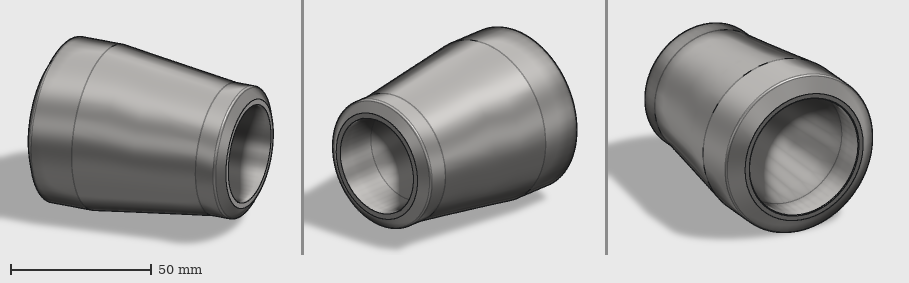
import cadquery as cq
import math

TOTAL_LENGTH = 76.0
LARGE_OUTER_DIAMETER = 60.3
LARGE_BORE_DIAMETER = 44.3
SMALL_OUTER_DIAMETER = 48.3
SMALL_BORE_DIAMETER = 35.7

LARGE_STRAIGHT_LENGTH = 20.0
SMALL_STRAIGHT_LENGTH = 10.0
LARGE_BORE_STRAIGHT_LENGTH = 12.0
SMALL_BORE_STRAIGHT_LENGTH = 16.0

LAND_WIDTH = 2.0
BEVEL_ANGLE = 30.0

BEVEL_ROUND_RADIUS = 1.0
TAPER_BLEND_RADIUS = 1.0
BORE_RIM_CHAMFER = 0.3

EDGE_TOLERANCE = 0.01

LARGE_OUTER_RADIUS = LARGE_OUTER_DIAMETER / 2
LARGE_BORE_RADIUS = LARGE_BORE_DIAMETER / 2
SMALL_OUTER_RADIUS = SMALL_OUTER_DIAMETER / 2
SMALL_BORE_RADIUS = SMALL_BORE_DIAMETER / 2


def bevel_length(outer_radius, bore_radius):
    """Axial length of a bevel from its land to the outer cylinder."""
    bevel_height = outer_radius - bore_radius - LAND_WIDTH
    return bevel_height * math.tan(math.radians(BEVEL_ANGLE))


LARGE_END_X = -TOTAL_LENGTH / 2
SMALL_END_X = TOTAL_LENGTH / 2
LARGE_BEVEL_X = LARGE_END_X + bevel_length(LARGE_OUTER_RADIUS, LARGE_BORE_RADIUS)
SMALL_BEVEL_X = SMALL_END_X - bevel_length(SMALL_OUTER_RADIUS, SMALL_BORE_RADIUS)
TAPER_START_X = LARGE_END_X + LARGE_STRAIGHT_LENGTH
TAPER_END_X = SMALL_END_X - SMALL_STRAIGHT_LENGTH
BORE_TAPER_START_X = LARGE_END_X + LARGE_BORE_STRAIGHT_LENGTH
BORE_TAPER_END_X = SMALL_END_X - SMALL_BORE_STRAIGHT_LENGTH

ROUNDED_EDGES = [
    (LARGE_BEVEL_X, LARGE_OUTER_RADIUS, BEVEL_ROUND_RADIUS),
    (SMALL_BEVEL_X, SMALL_OUTER_RADIUS, BEVEL_ROUND_RADIUS),
    (TAPER_START_X, LARGE_OUTER_RADIUS, TAPER_BLEND_RADIUS),
    (TAPER_END_X, SMALL_OUTER_RADIUS, TAPER_BLEND_RADIUS),
]


def make_sharp_reducer():
    """Revolve the wall section, given as (x, radius), about the X axis."""
    wall_section = [
        (LARGE_END_X, LARGE_BORE_RADIUS),
        (LARGE_END_X, LARGE_BORE_RADIUS + LAND_WIDTH),
        (LARGE_BEVEL_X, LARGE_OUTER_RADIUS),
        (TAPER_START_X, LARGE_OUTER_RADIUS),
        (TAPER_END_X, SMALL_OUTER_RADIUS),
        (SMALL_BEVEL_X, SMALL_OUTER_RADIUS),
        (SMALL_END_X, SMALL_BORE_RADIUS + LAND_WIDTH),
        (SMALL_END_X, SMALL_BORE_RADIUS),
        (BORE_TAPER_END_X, SMALL_BORE_RADIUS),
        (BORE_TAPER_START_X, LARGE_BORE_RADIUS),
    ]
    profile = cq.Workplane("XZ").polyline(wall_section).close()
    return profile.revolve(360, (0, 0, 0), (1, 0, 0))


def circle_edge(solid, x, radius):
    """Select the circular edge at x, the largest one not exceeding the given radius."""
    reach = radius + EDGE_TOLERANCE
    search_box = cq.selectors.BoxSelector(
        (x - EDGE_TOLERANCE, -reach, -reach),
        (x + EDGE_TOLERANCE, reach, reach),
        boundingbox=True,
    )
    return solid.edges(search_box).edges(cq.selectors.RadiusNthSelector(-1))


def round_outer_edges(solid):
    """Blend the bevels and the taper into the outer cylinders."""
    for edge_x, edge_radius, round_radius in ROUNDED_EDGES:
        solid = circle_edge(solid, edge_x, edge_radius).fillet(round_radius)
    return solid


def break_bore_rim(solid):
    """Chamfer the mouth of the large bore."""
    return circle_edge(solid, LARGE_END_X, LARGE_BORE_RADIUS).chamfer(BORE_RIM_CHAMFER)


result = break_bore_rim(round_outer_edges(make_sharp_reducer()))